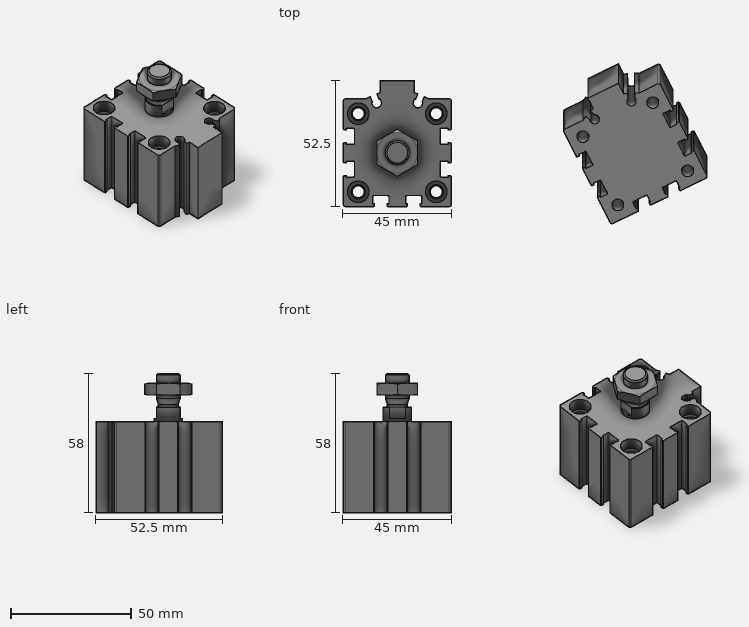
import cadquery as cq
import math

body_width = 45.0
body_half = body_width / 2
body_height = 38.0
corner_fillet = 1.0

rib_width = 14.2
rib_top_y = 30.0
shoulder_radius = 26.0

keyhole_angle = 22.5
keyhole_centre_radius = 22.35
keyhole_pocket_width = 3.8
keyhole_lip_radius = 23.3
keyhole_mouth_width = 2.9
keyhole_lip_fillet = 0.15

groove_offset = 6.85
groove_mouth_width = 5.3
groove_inner_width = 6.6
groove_depth = 4.6
groove_lip = 1.3
groove_inner_fillet = 0.3
groove_lip_fillet = 0.3

mount_spacing = 32.5
counterbore_diameter = 9.0
counterbore_depth = 5.5
thread_diameter = 6.0
thread_bore_diameter = 4.92

rod_diameter = 12.0
rod_shoulder_height = 6.1
rod_shoulder_chamfer = 0.3
flat_bottom = 1.4
flat_distance = 10.0
undercut_diameter = 8.4
undercut_fillet = 0.55
undercut_top = 7.05
flare_start_diameter = 8.57
flare_bottom = 7.2
flare_top = 9.6
flare_bulge = 0.12
thread_rod_diameter = 10.0
rod_tip_diameter = 8.65
rod_height = 20.0

nut_across_flats = 17.0
nut_bottom = 11.0
nut_thickness = 5.0
nut_turn = 30.0
nut_chamfer_diameter = 16.9
nut_chamfer_angle = 15.0


def make_t_groove():
    """Cutter for a T-groove that opens toward -Y in the side y = -body_half."""
    inner = (
        cq.Workplane("XY")
        .box(groove_inner_width, groove_depth - groove_lip, body_height, centered=(True, False, False))
        .translate((0, groove_lip - body_half, 0))
        .edges("|Z and >Y")
        .fillet(groove_inner_fillet)
    )
    half_mouth = groove_mouth_width / 2
    mouth = (
        cq.Workplane("XY")
        .moveTo(-half_mouth - groove_lip_fillet, -body_half)
        .radiusArc((-half_mouth, groove_lip_fillet - body_half), groove_lip_fillet)
        .lineTo(-half_mouth, groove_lip - body_half)
        .lineTo(half_mouth, groove_lip - body_half)
        .lineTo(half_mouth, groove_lip_fillet - body_half)
        .radiusArc((half_mouth + groove_lip_fillet, -body_half), groove_lip_fillet)
        .close()
        .extrude(body_height)
    )
    return inner.union(mouth)


def make_keyhole():
    """Cutter for a round-bottomed lipped groove lying on the Y axis, open toward +Y."""
    half_pocket = keyhole_pocket_width / 2
    half_mouth = keyhole_mouth_width / 2
    pocket_bottom = keyhole_centre_radius - half_pocket
    return (
        cq.Workplane("XY")
        .moveTo(-half_pocket, keyhole_centre_radius)
        .threePointArc((0, pocket_bottom), (half_pocket, keyhole_centre_radius))
        .lineTo(half_pocket, keyhole_lip_radius)
        .lineTo(half_mouth, keyhole_lip_radius)
        .lineTo(half_mouth, rib_top_y)
        .lineTo(-half_mouth, rib_top_y)
        .lineTo(-half_mouth, keyhole_lip_radius)
        .lineTo(-half_pocket, keyhole_lip_radius)
        .close()
        .extrude(body_height)
    )


def keyhole_lip_selector():
    """Selects the upright edges where the keyhole mouths meet the shoulder arc."""
    mouth_half_angle = math.degrees(math.asin(keyhole_mouth_width / 2 / shoulder_radius))
    reach = 0.1
    selector = None
    for side in (-1, 1):
        for lip in (-1, 1):
            angle = math.radians(side * (keyhole_angle + lip * mouth_half_angle))
            x = shoulder_radius * math.sin(angle)
            y = shoulder_radius * math.cos(angle)
            box = cq.selectors.BoxSelector(
                (x - reach, y - reach, 0),
                (x + reach, y + reach, body_height),
            )
            selector = box if selector is None else selector + box
    return selector


def make_mount_hole():
    """Cutter for a counterbored through hole with a countersunk thread entry."""
    floor = body_height - counterbore_depth
    countersink_depth = (thread_diameter - thread_bore_diameter) / 2
    return (
        cq.Workplane("XZ")
        .polyline([
            (0, 0),
            (thread_bore_diameter / 2, 0),
            (thread_bore_diameter / 2, floor - countersink_depth),
            (thread_diameter / 2, floor),
            (counterbore_diameter / 2, floor),
            (counterbore_diameter / 2, body_height),
            (0, body_height),
        ])
        .close()
        .revolve(360, (0, 0), (0, 1))
    )


def make_body():
    block = (
        cq.Workplane("XY")
        .box(body_width, body_width, body_height, centered=(True, True, False))
        .edges("|Z")
        .fillet(corner_fillet)
    )
    shoulder = cq.Workplane("XY").circle(shoulder_radius).extrude(body_height)
    shoulder_reach = math.sqrt(shoulder_radius**2 - body_half**2)
    shoulder_limit = (
        cq.Workplane("XY")
        .box(2 * shoulder_reach, shoulder_radius, body_height, centered=(True, False, False))
    )
    rib = (
        cq.Workplane("XY")
        .box(rib_width, rib_top_y, body_height, centered=(True, False, False))
    )
    body = block.union(shoulder.intersect(shoulder_limit)).union(rib)

    for angle in (-keyhole_angle, keyhole_angle):
        body = body.cut(make_keyhole().rotate((0, 0, 0), (0, 0, 1), angle))
    body = body.edges(keyhole_lip_selector()).fillet(keyhole_lip_fillet)

    for side_angle in (-90, 0, 90):
        for offset in (-groove_offset, groove_offset):
            groove = make_t_groove().translate((offset, 0, 0))
            body = body.cut(groove.rotate((0, 0, 0), (0, 0, 1), side_angle))

    for x in (-mount_spacing / 2, mount_spacing / 2):
        for y in (-mount_spacing / 2, mount_spacing / 2):
            body = body.cut(make_mount_hole().translate((x, y, 0)))
    return body


def make_rod():
    rod_radius = rod_diameter / 2
    thread_radius = thread_rod_diameter / 2
    undercut_radius = undercut_diameter / 2
    flare_radius = flare_start_diameter / 2
    tip_radius = rod_tip_diameter / 2
    flare_middle = (
        (flare_radius + thread_radius) / 2 - flare_bulge,
        (flare_bottom + flare_top) / 2,
    )
    rod = (
        cq.Workplane("XZ")
        .moveTo(0, 0)
        .lineTo(rod_radius, 0)
        .lineTo(rod_radius, rod_shoulder_height - rod_shoulder_chamfer)
        .lineTo(rod_radius - rod_shoulder_chamfer, rod_shoulder_height)
        .lineTo(undercut_radius + undercut_fillet, rod_shoulder_height)
        .radiusArc((undercut_radius, rod_shoulder_height + undercut_fillet), undercut_fillet)
        .lineTo(undercut_radius, undercut_top)
        .lineTo(flare_radius, flare_bottom)
        .threePointArc(flare_middle, (thread_radius, flare_top))
        .lineTo(thread_radius, rod_height - (thread_radius - tip_radius))
        .lineTo(tip_radius, rod_height)
        .lineTo(0, rod_height)
        .close()
        .revolve(360, (0, 0), (0, 1))
    )
    flat_height = rod_shoulder_height - flat_bottom
    for side in (-1, 1):
        flat_cut = (
            cq.Workplane("XY")
            .box(rod_diameter, rod_diameter, flat_height, centered=(True, True, False))
            .translate((0, side * (flat_distance + rod_diameter) / 2, flat_bottom))
        )
        rod = rod.cut(flat_cut)
    return rod.translate((0, 0, body_height))


def make_nut():
    corner_radius = nut_across_flats / math.sqrt(3)
    chamfer_radius = nut_chamfer_diameter / 2
    chamfer_height = (corner_radius - chamfer_radius) * math.tan(math.radians(nut_chamfer_angle))
    hexagon = (
        cq.Workplane("XY")
        .polygon(6, 2 * corner_radius)
        .circle(thread_rod_diameter / 2)
        .extrude(nut_thickness)
        .rotate((0, 0, 0), (0, 0, 1), nut_turn)
    )
    chamfered_blank = (
        cq.Workplane("XZ")
        .polyline([
            (0, 0),
            (chamfer_radius, 0),
            (corner_radius, chamfer_height),
            (corner_radius, nut_thickness - chamfer_height),
            (chamfer_radius, nut_thickness),
            (0, nut_thickness),
        ])
        .close()
        .revolve(360, (0, 0), (0, 1))
    )
    return hexagon.intersect(chamfered_blank).translate((0, 0, body_height + nut_bottom))


body = make_body()
rod = make_rod()
nut = make_nut()

result = cq.Compound.makeCompound([body.val(), rod.val(), nut.val()])